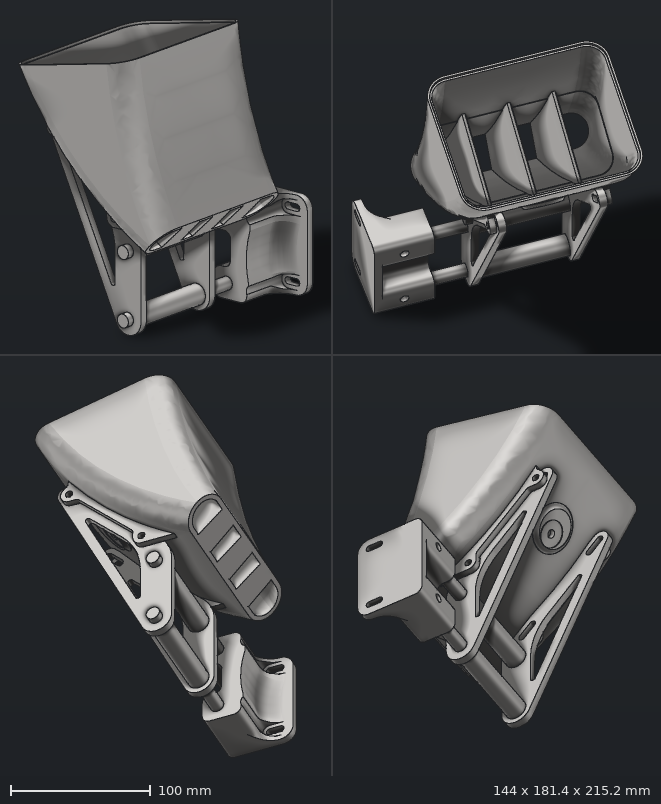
import cadquery as cq
import math


ROD_DIA = 10.3
SLEEVE_DIA = 16.4
ROD_SPACING = 51.5
ROD_FRONT_END = -46.5

PLATE_INNER_Y = 34.9
PLATE_THICKNESS = 6.0
PLATE_OUTER_Y = PLATE_INNER_Y + PLATE_THICKNESS
PLATE_FOOT_RADIUS = 12.15
PLATE_TOP_RADIUS = 7.0
PLATE_SHOULDER_RADIUS = 28.0
SLOT_HALF_TRAVEL = 6.0
STRUT_WIDTH = 8.0
ARM_WIDTH = 13.8
WINDOW_BEND_RADIUS = 49.5
WINDOW_CORNER_RADIUS = 2.0

LUG_THICKNESS = 5.0
LUG_RADIUS = 6.7
LUG_INNER_RADIUS = 3.7
SCREW_DIA = 5.4
LOWER_HOLE = (-9.3, 75.0)
HOLE_STEP = 56.4
UPPER_HOLE = (LOWER_HOLE[0] - HOLE_STEP, LOWER_HOLE[1] + HOLE_STEP)
LUG_NECK = (-66.5, 140.0)
LUG_WALL_TOP = (-65.9, 144.6)
LUG_WALL_END_X = 18.3

HORN_WIDTH = 136.2
HORN_WALL = 3.2
HORN_CORNER_RADIUS = 17.0
OUTLET_ROUNDNESS = 0.98
HORN_SECTIONS = 5
MOUTH_REAR = (-88.35, 178.75)
MOUTH_FRONT = (19.7, 203.05)
OUTLET_REAR = (32.0, 59.6)
OUTLET_FRONT = (55.63, 82.97)
REAR_WALL_SAG = 13.0
FRONT_WALL_SAG = 5.8
RIM_STEP_WIDTH = 1.7
RIM_STEP_DEPTH = 2.0
THROAT_SHARE = 0.57
THROAT_STEP = 0.5

VANE_PITCH = 33.8
VANE_NOSE_LENGTH = 11.0
VANE_TAIL_LENGTH = 86.0
VANE_TIP_THICKNESS = 2.2
VANE_NOSE_BULGE = 5.4
VANE_THROAT_THICKNESS = 6.7
VANE_FLARE_ANGLE = 6.7

BOSS_Z = 126.0
BOSS_TOP_DIA = 29.7
BOSS_BASE_DIA = 37.7
BOSS_HEIGHT = 2.8
BOSS_HOLE_DEPTH = 5.0
BOSS_ROOT = 2.2
SPOT_DIA = 20.5
SPOT_DEPTH = 0.6
SPOT_OFFSET = 4.5
BOSS_HOLE_DIA = 6.2

BRACKET_WIDTH = 45.2
BRACKET_Y = HORN_WIDTH / 2
BRACKET_BACK_Y = BRACKET_Y + BRACKET_WIDTH
BRACKET_BOTTOM = -PLATE_FOOT_RADIUS
BRACKET_HEIGHT = 75.3
BRACKET_MID_Z = BRACKET_BOTTOM + BRACKET_HEIGHT / 2
BRACKET_LEFT = -11.8
BRACKET_RIGHT = 42.2
BLOCK_RIGHT = 18.7
FLANGE_THICKNESS = 6.0
FLANGE_FACE_Y = BRACKET_BACK_Y - FLANGE_THICKNESS
BLOCK_CORNER_RADIUS = 6.0
FLANGE_CORNER_RADIUS = 10.3
BRACKET_FILLET = 14.0
SADDLE_RADIUS = 76.5
SADDLE_DEEPEST_X = 18.3
SADDLE_CENTER_Z = 21.3
SADDLE_UPPER_ANGLE = 17.0
SADDLE_LOWER_ANGLE = 13.0
SLOT_SPACING = 56.2
SLOT_LEFT = 21.3
SLOT_RIGHT = 34.9
SLOT_WIDTH = 5.4
SLOT_RELIEF_RADIUS = 5.8
RECESS_HALF_HEIGHT = 19.5
RECESS_DEPTH = 15.3
RECESS_RADIUS = 6.0
SET_SCREW_DIA = 6.5

BLEND_START_X = 0.0
TINY = 0.02

SPAN = 430.5


def xz_sketch(back_y):
    """Sketch plane parallel to XZ at back_y; positive extrusions run toward -Y."""
    return cq.Workplane("XZ", origin=(0, back_y, 0))


def along(start, angle_deg, distance):
    """Point in XZ at a distance from start, angle measured from +X toward +Z."""
    angle = math.radians(angle_deg)
    return (start[0] + distance * math.cos(angle), start[1] + distance * math.sin(angle))



def wall_arc(rear_end, front_end, sag):
    """Center and radius of the arc through both ends that bows toward -X and -Z by sag."""
    chord = math.dist(rear_end, front_end)
    radius = (chord ** 2 / 4 + sag ** 2) / (2 * sag)
    chord_angle = math.degrees(math.atan2(front_end[1] - rear_end[1], front_end[0] - rear_end[0]))
    middle = ((rear_end[0] + front_end[0]) / 2, (rear_end[1] + front_end[1]) / 2)
    return along(middle, chord_angle + 90, radius - sag), radius


REAR_CENTER, REAR_RADIUS = wall_arc(MOUTH_REAR, OUTLET_REAR, REAR_WALL_SAG)
FRONT_CENTER, FRONT_RADIUS = wall_arc(MOUTH_FRONT, OUTLET_FRONT, FRONT_WALL_SAG)


def direction_angle(start, end):
    return math.degrees(math.atan2(end[1] - start[1], end[0] - start[0]))


def wall_point(center, radius, mouth, outlet, share):
    """Point on a wall arc at a share of the way from mouth to outlet."""
    start = direction_angle(center, mouth) % 360
    end = direction_angle(center, outlet) % 360
    return along(center, start + share * (end - start), radius)


def horn_section(share, inset):
    """Plane, length and corner radius of the horn cross-section at a share of its length."""
    rear = wall_point(REAR_CENTER, REAR_RADIUS, MOUTH_REAR, OUTLET_REAR, share)
    front = wall_point(FRONT_CENTER, FRONT_RADIUS, MOUTH_FRONT, OUTLET_FRONT, share)
    across = direction_angle(rear, front)
    rear_lean = math.radians(across - direction_angle(rear, REAR_CENTER))
    front_lean = math.radians(across - direction_angle(front, FRONT_CENTER))
    rear = along(rear, across, inset / abs(math.cos(rear_lean)))
    front = along(front, across, -inset / abs(math.cos(front_lean)))
    length = math.dist(rear, front)
    corner = min(HORN_CORNER_RADIUS - inset, OUTLET_ROUNDNESS * length / 2)
    turn = math.radians(across)
    plane = cq.Plane(
        ((rear[0] + front[0]) / 2, 0, (rear[1] + front[1]) / 2),
        (math.cos(turn), 0, math.sin(turn)),
        (-math.sin(turn), 0, math.cos(turn)),
    )
    return plane, length, corner


def horn_duct(inset):
    """Solid of the horn with every wall, but not the two open ends, moved inward by inset."""
    outlines = []
    for step in range(HORN_SECTIONS):
        plane, length, corner = horn_section(step / (HORN_SECTIONS - 1), inset)
        outline = cq.Sketch().rect(length, HORN_WIDTH - 2 * inset).vertices().fillet(corner)
        placed = cq.Workplane(plane).placeSketch(outline)
        outlines.append(placed.extrude(2.2).faces(cq.selectors.NearestToPointSelector(plane.origin)))
    return cq.Workplane(cq.Solid.makeLoft([face.wires().val() for face in outlines]))


def horn_passage():
    """Air passage, with a small step all round where the throat begins."""
    throat_plane, _, _ = horn_section(THROAT_SHARE, 0)
    below_throat = cq.Workplane(throat_plane).rect(SPAN, SPAN).extrude(-SPAN)
    upper = horn_duct(HORN_WALL).cut(below_throat)
    throat = horn_duct(HORN_WALL + THROAT_STEP)
    return upper.union(throat)


def rim_rebate():
    """Step inside the rim, part of a wall wide."""
    mouth, _, _ = horn_section(0, 0)
    rim_slab = cq.Workplane(mouth).rect(SPAN, SPAN).extrude(-RIM_STEP_DEPTH)
    return horn_duct(RIM_STEP_WIDTH).intersect(rim_slab)


def vane(center_y):
    """Wedge that splits the throat: a bulging nose, then sides that spread toward the outlet."""
    throat, _, _ = horn_section(THROAT_SHARE, 0)
    across = cq.Plane(throat.toWorldCoords((0, center_y, 0)), throat.yDir, throat.xDir)
    tip = VANE_TIP_THICKNESS / 2
    bulge = VANE_NOSE_BULGE / 2
    shoulder = VANE_THROAT_THICKNESS / 2
    tail = shoulder + VANE_TAIL_LENGTH * math.tan(math.radians(VANE_FLARE_ANGLE))
    blade = (
        cq.Workplane(across)
        .moveTo(-tail, -VANE_TAIL_LENGTH)
        .lineTo(-shoulder, 0)
        .threePointArc((-bulge, VANE_NOSE_LENGTH / 2), (-tip, VANE_NOSE_LENGTH))
        .lineTo(tip, VANE_NOSE_LENGTH)
        .threePointArc((bulge, VANE_NOSE_LENGTH / 2), (shoulder, 0))
        .lineTo(tail, -VANE_TAIL_LENGTH)
        .close()
        .extrude(SPAN / 2, both=True)
    )
    return blade.intersect(horn_duct(HORN_WALL / 2))


def lug(inner_y):
    """Flat ear on the rear wall with the two screw holes; its lower flank follows the hole line."""
    upper_x, upper_z = UPPER_HOLE
    lower_x, lower_z = LOWER_HOLE
    upper_bottom = upper_z - LUG_RADIUS
    lower_left = lower_x - LUG_RADIUS
    hole_line_sum = lower_x + lower_z
    shoulder = along(UPPER_HOLE, 135, LUG_RADIUS)
    ear = (
        xz_sketch(inner_y + LUG_THICKNESS)
        .moveTo(*LUG_WALL_TOP)
        .lineTo(*LUG_NECK)
        .lineTo(*shoulder)
        .threePointArc(along(UPPER_HOLE, 202.5, LUG_RADIUS), (upper_x, upper_bottom))
        .lineTo(hole_line_sum - upper_bottom, upper_bottom)
        .lineTo(lower_left, hole_line_sum - lower_left)
        .lineTo(lower_left, lower_z)
        .threePointArc(along(LOWER_HOLE, 225, LUG_RADIUS), (lower_x, lower_z - LUG_RADIUS))
        .lineTo(LUG_WALL_END_X, lower_z - LUG_RADIUS)
        .close()
        .extrude(LUG_THICKNESS)
    )
    middle_y = inner_y + LUG_THICKNESS / 2
    for corner_x, corner_z in (
        (hole_line_sum - upper_bottom, upper_bottom),
        (lower_left, hole_line_sum - lower_left),
    ):
        nearest = cq.selectors.NearestToPointSelector((corner_x, middle_y, corner_z))
        ear = ear.edges("|Y").edges(nearest).fillet(LUG_INNER_RADIUS)
    holes = (
        xz_sketch(inner_y + LUG_THICKNESS)
        .pushPoints([UPPER_HOLE, LOWER_HOLE])
        .circle(SCREW_DIA / 2)
        .extrude(LUG_THICKNESS)
    )
    return ear.cut(holes)


def boss_plane():
    """Plane on the rear wall under the boss, facing out of the horn, local x toward the mouth."""
    drop = REAR_CENTER[1] - BOSS_Z
    run = math.sqrt(REAR_RADIUS ** 2 - drop ** 2)
    outward = (-run, 0, -drop)
    return cq.Plane((REAR_CENTER[0] - run, 0, BOSS_Z), (-drop, 0, run), outward)


def boss():
    """Round boss that flares into the rear wall."""
    top_radius = BOSS_TOP_DIA / 2
    base_radius = BOSS_BASE_DIA / 2
    flare = base_radius - top_radius
    flare_radius = (BOSS_HEIGHT ** 2 + flare ** 2) / (2 * BOSS_HEIGHT)
    wall = boss_plane()
    section = cq.Plane(wall.origin, wall.zDir, wall.zDir.cross(wall.xDir))
    return (
        cq.Workplane(section)
        .moveTo(-BOSS_ROOT, 0)
        .lineTo(-BOSS_ROOT, base_radius)
        .lineTo(0, base_radius)
        .radiusArc((BOSS_HEIGHT, top_radius), -flare_radius)
        .lineTo(BOSS_HEIGHT, 0)
        .close()
        .revolve(360, (0, 0), (1, 0))
    )


def boss_holes():
    """Shallow spot face on the boss and the blind hole at its middle."""
    face = cq.Workplane(boss_plane()).workplane(offset=BOSS_HEIGHT).center(-SPOT_OFFSET, 0)
    spot = face.circle(SPOT_DIA / 2).extrude(-SPOT_DEPTH)
    hole = face.circle(BOSS_HOLE_DIA / 2).extrude(-BOSS_HOLE_DEPTH)
    return spot.union(hole)


def horn():
    shell = horn_duct(0)
    for inner_y in (PLATE_OUTER_Y, -PLATE_OUTER_Y - LUG_THICKNESS):
        shell = shell.union(lug(inner_y))
    shell = shell.union(boss())
    shell = shell.cut(horn_passage()).cut(rim_rebate())
    for row in (-1, 0, 1):
        shell = shell.union(vane(row * VANE_PITCH))
    return shell.cut(boss_holes())



TOP_CENTER = along(UPPER_HOLE, 135, SLOT_HALF_TRAVEL)


def line_crossing_x(point, angle_deg, x):
    """Z where the line through point at angle_deg reaches x."""
    return point[1] + (x - point[0]) * math.tan(math.radians(angle_deg))


def strut_angles():
    """Angle of the strut line from foot to top, and of its outward normal."""
    spread = math.dist((0, 0), TOP_CENTER)
    lean = math.degrees(math.asin((PLATE_FOOT_RADIUS - PLATE_TOP_RADIUS) / spread))
    strut = math.degrees(math.atan2(TOP_CENTER[1], TOP_CENTER[0])) - lean
    return strut, strut + 90


def plate_outline(back_y):
    """Foot around the lower rod, upright right edge, 45 degree arm and round upper end."""
    strut, outward = strut_angles()
    arm_outer = along(TOP_CENTER, 45, PLATE_TOP_RADIUS)
    right = PLATE_FOOT_RADIUS
    knee = (right, line_crossing_x(arm_outer, -45, right))
    shoulder_tangent = PLATE_SHOULDER_RADIUS * math.tan(math.radians(22.5))
    shoulder_start = (right, knee[1] - shoulder_tangent)
    shoulder_center = (right - PLATE_SHOULDER_RADIUS, shoulder_start[1])
    return (
        xz_sketch(back_y)
        .moveTo(right, 0)
        .lineTo(*shoulder_start)
        .threePointArc(
            along(shoulder_center, 22.5, PLATE_SHOULDER_RADIUS),
            along(knee, 135, shoulder_tangent),
        )
        .lineTo(*arm_outer)
        .threePointArc(
            along(TOP_CENTER, (45 + outward) / 2, PLATE_TOP_RADIUS),
            along(TOP_CENTER, outward, PLATE_TOP_RADIUS),
        )
        .lineTo(*along((0, 0), outward, PLATE_FOOT_RADIUS))
        .threePointArc((0, -PLATE_FOOT_RADIUS), (right, 0))
        .close()
        .extrude(PLATE_THICKNESS)
    )


def plate_window(back_y):
    """Triangular opening between the strut, the arm and the upright, with rounded corners."""
    strut, outward = strut_angles()
    strut_inner = along((0, 0), outward, PLATE_FOOT_RADIUS - STRUT_WIDTH)
    arm_inner = along(TOP_CENTER, 45, PLATE_TOP_RADIUS - ARM_WIDTH)
    left = -PLATE_FOOT_RADIUS
    bend = (left, line_crossing_x(arm_inner, -45, left))
    lower = (left, line_crossing_x(strut_inner, strut, left))
    strut_slope = math.tan(math.radians(strut))
    rise = bend[1] - lower[1]
    upper_x = left + rise / (strut_slope + 1)
    upper = (upper_x, line_crossing_x(strut_inner, strut, upper_x))
    window = xz_sketch(back_y).polyline([bend, lower, upper]).close().extrude(PLATE_THICKNESS)
    for corner, radius in (
        (bend, WINDOW_BEND_RADIUS),
        (lower, WINDOW_CORNER_RADIUS),
        (upper, WINDOW_CORNER_RADIUS),
    ):
        middle_y = back_y - PLATE_THICKNESS / 2
        nearest = cq.selectors.NearestToPointSelector((corner[0], middle_y, corner[1]))
        window = window.edges("|Y").edges(nearest).fillet(radius)
    return window


def side_plate(back_y):
    """Arm plate with rod holes, aiming slots and a triangular window."""
    holes = (
        xz_sketch(back_y)
        .pushPoints([(0, 0), (0, ROD_SPACING)])
        .circle(ROD_DIA / 2)
        .extrude(PLATE_THICKNESS)
    )
    slots = (
        xz_sketch(back_y)
        .pushPoints([UPPER_HOLE, LOWER_HOLE])
        .slot2D(2 * SLOT_HALF_TRAVEL + SCREW_DIA, SCREW_DIA, -45)
        .extrude(PLATE_THICKNESS)
    )
    plate = plate_outline(back_y).cut(plate_window(back_y)).cut(holes).cut(slots)
    return plate.cut(horn_duct(0))



def rod(z):
    return (
        xz_sketch(FLANGE_FACE_Y)
        .center(0, z)
        .circle(ROD_DIA / 2)
        .extrude(FLANGE_FACE_Y - ROD_FRONT_END)
    )


def sleeve(z):
    """Spacer tube on a rod, between the two plates."""
    return (
        xz_sketch(PLATE_INNER_Y)
        .center(0, z)
        .circle(SLEEVE_DIA / 2)
        .circle(ROD_DIA / 2)
        .extrude(2 * PLATE_INNER_Y)
    )



UPPER_SLOT_Z = BRACKET_MID_Z + SLOT_SPACING / 2
LOWER_SLOT_Z = BRACKET_MID_Z - SLOT_SPACING / 2


def blended_block(block, low_z, high_z):
    """Join a block to a flange that runs past it and blend every edge where the two meet."""
    flange = (
        cq.Workplane()
        .box(SPAN, FLANGE_THICKNESS, high_z - low_z, centered=False)
        .translate((BRACKET_LEFT, FLANGE_FACE_Y, low_z))
    )
    joined = block.union(flange)
    foot = cq.selectors.BoxSelector(
        (BLEND_START_X, FLANGE_FACE_Y - TINY, low_z + TINY),
        (SPAN / 2, FLANGE_FACE_Y + TINY, high_z - TINY),
    )
    return joined.edges(foot).fillet(BRACKET_FILLET)


def saddle_block():
    """Middle of the bracket, with the hollow that takes a round post lying along Y."""
    center = (SADDLE_DEEPEST_X + SADDLE_RADIUS, SADDLE_CENTER_Z)
    deepest = (SADDLE_DEEPEST_X, SADDLE_CENTER_Z)
    upper = along(center, 180 - SADDLE_UPPER_ANGLE, SADDLE_RADIUS)
    lower = along(center, 180 + SADDLE_LOWER_ANGLE, SADDLE_RADIUS)
    block = (
        xz_sketch(FLANGE_FACE_Y)
        .moveTo(BRACKET_LEFT, LOWER_SLOT_Z)
        .lineTo(lower[0], LOWER_SLOT_Z)
        .lineTo(*lower)
        .threePointArc(deepest, upper)
        .lineTo(upper[0], UPPER_SLOT_Z)
        .lineTo(BRACKET_LEFT, UPPER_SLOT_Z)
        .close()
        .extrude(BRACKET_WIDTH - FLANGE_THICKNESS)
    )
    return blended_block(block, LOWER_SLOT_Z, UPPER_SLOT_Z)


def end_block():
    """Upper end of the bracket; its blend runs on over the top and is trimmed later."""
    height = BRACKET_BOTTOM + BRACKET_HEIGHT - UPPER_SLOT_Z
    block = (
        cq.Workplane()
        .box(BLOCK_RIGHT - BRACKET_LEFT, BRACKET_WIDTH - FLANGE_THICKNESS, height, centered=False)
        .translate((BRACKET_LEFT, BRACKET_Y, UPPER_SLOT_Z))
        .edges("|Y and >X and >Z")
        .fillet(BLOCK_CORNER_RADIUS)
    )
    return blended_block(block, UPPER_SLOT_Z, SPAN / 2)


def bracket_envelope():
    """Full-depth outline of the bracket: small rounds on the left, large ones on the right."""
    return (
        cq.Workplane()
        .box(BRACKET_RIGHT - BRACKET_LEFT, BRACKET_WIDTH, BRACKET_HEIGHT, centered=False)
        .translate((BRACKET_LEFT, BRACKET_Y, BRACKET_BOTTOM))
        .edges("|Y and <X")
        .fillet(BLOCK_CORNER_RADIUS)
        .edges("|Y and >X")
        .fillet(FLANGE_CORNER_RADIUS)
    )


def clamp_recess():
    """Channel in the left side, open toward -Y, with rounded lips and a rounded bottom."""
    lip = RECESS_RADIUS
    inner_half = RECESS_HALF_HEIGHT - lip
    length = BRACKET_WIDTH - FLANGE_THICKNESS
    mouth = (
        xz_sketch(FLANGE_FACE_Y)
        .moveTo(BRACKET_LEFT, BRACKET_MID_Z - RECESS_HALF_HEIGHT)
        .radiusArc((BRACKET_LEFT + lip, BRACKET_MID_Z - inner_half), lip)
        .lineTo(BRACKET_LEFT + lip, BRACKET_MID_Z + inner_half)
        .radiusArc((BRACKET_LEFT, BRACKET_MID_Z + RECESS_HALF_HEIGHT), lip)
        .close()
        .extrude(length)
    )
    channel = (
        cq.Workplane()
        .box(RECESS_DEPTH, length, 2 * inner_half, centered=False)
        .translate((BRACKET_LEFT, BRACKET_Y, BRACKET_MID_Z - inner_half))
        .edges("|Y and >X")
        .fillet(RECESS_RADIUS)
    )
    return channel.union(mouth)


def flange_slots():
    """Bolt slots through the flange, each with room for the bolt head cut into the blend."""
    slot_middle = (SLOT_LEFT + SLOT_RIGHT) / 2
    relief_left = SADDLE_DEEPEST_X
    centers = [UPPER_SLOT_Z, LOWER_SLOT_Z]
    slots = (
        xz_sketch(BRACKET_BACK_Y)
        .pushPoints([(slot_middle, z) for z in centers])
        .slot2D(SLOT_RIGHT - SLOT_LEFT, SLOT_WIDTH)
        .extrude(FLANGE_THICKNESS)
    )
    reliefs = (
        xz_sketch(FLANGE_FACE_Y)
        .pushPoints([(relief_left + SPAN / 2, z) for z in centers])
        .slot2D(SPAN, 2 * SLOT_RELIEF_RADIUS)
        .extrude(BRACKET_WIDTH)
    )
    return slots.union(reliefs)


def set_screw_holes():
    """Holes from the left side into the rod bores."""
    return (
        cq.Workplane("YZ", origin=(BRACKET_LEFT, BRACKET_Y + BRACKET_WIDTH / 2, 0))
        .pushPoints([(0, 0), (0, ROD_SPACING)])
        .circle(SET_SCREW_DIA / 2)
        .extrude(-BRACKET_LEFT)
    )


def bracket():
    upper_end = end_block()
    lower_end = upper_end.mirror("XY", (0, 0, BRACKET_MID_Z))
    body = saddle_block().union(upper_end).union(lower_end).intersect(bracket_envelope())
    body = body.cut(clamp_recess()).cut(flange_slots()).cut(set_screw_holes())
    for z in (0, ROD_SPACING):
        body = body.cut(rod(z))
    return body



bodies = [horn().val(), bracket().val()]
for back_y in (PLATE_OUTER_Y, -PLATE_INNER_Y):
    bodies.append(side_plate(back_y).val())
for rod_z in (0, ROD_SPACING):
    bodies.append(rod(rod_z).val())
    bodies.append(sleeve(rod_z).val())

result = cq.Compound.makeCompound(bodies)